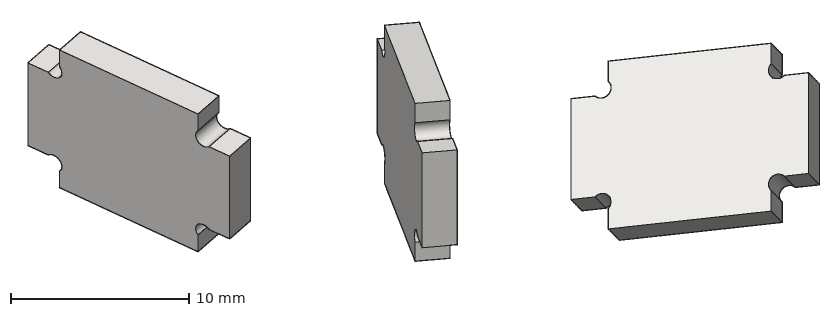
import cadquery as cq
import math

length = 14.0
height = 10.0
thickness = 2.0

body_length = 9.6
arm_height = 6.0

relief_radius = 0.55
relief_offset = relief_radius / math.sqrt(2)


def plate(size_x, size_z):
    """Plate of the common thickness, centred on the origin."""
    return cq.Workplane("XY").box(size_x, thickness, size_z)


def corner_reliefs():
    """Four round cutters along Y, centred diagonally outside the inner corners."""
    spacing_x = body_length + 2 * relief_offset
    spacing_z = arm_height + 2 * relief_offset
    return (
        cq.Workplane("XZ")
        .rarray(spacing_x, spacing_z, 2, 2)
        .circle(relief_radius)
        .extrude(thickness, both=True)
    )


cross = plate(body_length, height).union(plate(length, arm_height))
result = cross.cut(corner_reliefs())